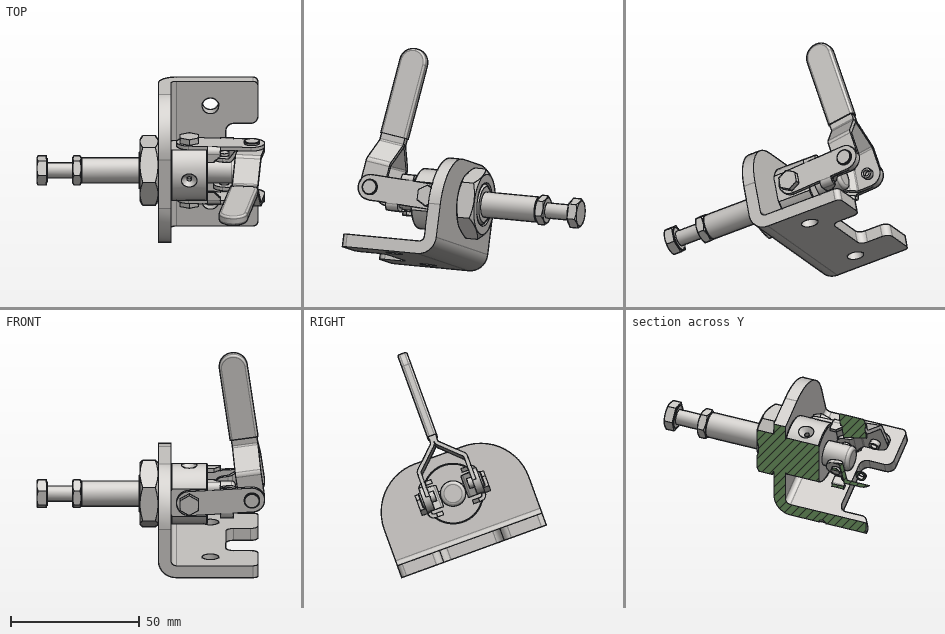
import cadquery as cq
import math

ROLL_ANGLE = 20

HEX_CHAMFER_ANGLE = 30

PLATE_THICKNESS = 5.0
HALF_WIDTH = 30.0
PLATE_TOP = 16
PLATE_CORNER_RADIUS = 20.0
BASE_BOTTOM = -24
BASE_LENGTH = 38.9
BEND_INNER_RADIUS = 2.0
BASE_CORNER_RADIUS = 2.0
NOTCH_WIDTH = 25.05
NOTCH_DEPTH = NOTCH_WIDTH / 2
NOTCH_FILLET = 3.0
BASE_HOLE_DIAMETER = 6.5
BASE_HOLE_X = 20.3
BASE_HOLE_Y = 19.8

THREAD_RADIUS = 8
THREAD_FRONT = -7.5
THREAD_CHAMFER = 1.0
NUT_LENGTH = 7.2
NUT_ACROSS_FLATS = 24
NUT_FACE_RADIUS = 11.8
NUT_BORE_CHAMFER = 0.5
BODY_RADIUS = 11.8
BODY_HALF_WIDTH = 10.4
BODY_END = 19.1
BODY_CHAMFER = 0.35
OILER_CONE_RADIUS = 3.0
OILER_CONE_DEPTH = 2.1
OILER_BORE_RADIUS = 0.9
OILER_DEPTH = 4.4

PLUNGER_RADIUS = 5.0
PLUNGER_FRONT = -30.0
PLUNGER_CHAMFER = 0.35
PLUNGER_END = 30.0
PLUNGER_END_FILLET = 1.4
SPINDLE_RADIUS = 3.0
SPINDLE_FRONT = -47.35
SPINDLE_ACROSS_FLATS = 10.0
SPINDLE_FACE_RADIUS = 4.9
SPINDLE_HEAD_LENGTH = 3.7
SPINDLE_COLLAR_RADIUS = 4.6
SPINDLE_COLLAR_LENGTH = 0.35
LOCK_NUT_LENGTH = 3.4

SHEET = 1.5
LINK_RADIUS = 5.0
FLANGE_LENGTH = 5.1
FLANGE_INNER_Y = 6.2
FLANGE_CHAMFER = 2.5
FLANGE_BEND_INNER_RADIUS = 0.9
UPPER_FLANGE_START = BODY_END
UPPER_FLANGE_Z = 8.1
LOWER_FLANGE_START = 24.25
LOWER_FLANGE_Z = -6.5
BODY_BOLT = (12.1, 0.2)
HANDLE_PIN = (36.5, 1.6)
PLUNGER_PIN = (25.8, 0.7)
BOLT_ACROSS_FLATS = 7.1
BOLT_FACE_RADIUS = 4.0
BOLT_HEAD_LENGTH = 2.3
PIN_HEAD_RADIUS = 3.0
PIN_HEAD_LENGTH = 1.0
PIN_CHAMFER = 0.3
PIN_STUB_RADIUS = 2.0
PIN_STUB_INNER_Y = 6.8
PIN_STUB_BORE_RADIUS = 1.2
PIN_STUB_BORE_DEPTH = 1.8
PLUNGER_PIN_RADIUS = 1.9
PLUNGER_PIN_HALF_LENGTH = 7.8
TAIL_RADIUS = 4.3
TAIL_INNER_Y = 5.15
JOG_START_X = 28.25
JOG_END_X = 30.9
JOG_INNER_RADIUS = 0.5

HANDLE_LEAN = 8.1
HANDLE_WIDTH = 10.0
HANDLE_LOWER_BEND = 10.7
HANDLE_UPPER_BEND = 19.2
HANDLE_BEND_INNER_RADIUS = 1.0
GRIP_BOTTOM = 22.0
GRIP_TOP = 57.0
GRIP_WIDTH = 11.0
GRIP_THICKNESS = 3.8
GRIP_EDGE_RADIUS = 0.9

LINK_INNER_Y = BODY_HALF_WIDTH
LINK_OUTER_Y = LINK_INNER_Y + SHEET


def rod(radius, start, end):
    """Cylinder on the plunger axis between two X positions."""
    return cq.Workplane("YZ", origin=(start, 0, 0)).circle(radius).extrude(end - start)


def cross_rod(center, radius, y_start, y_end):
    """Cylinder along Y at an (x, z) center."""
    plane = cq.Workplane("XZ", origin=(center[0], y_start, center[1]))
    return plane.circle(radius).extrude(y_start - y_end)


def hexagon(across_flats, face_radius, length, chamfer_base=True):
    """Hexagonal prism standing on XY, one corner along +X, chamfered on top and optionally at its base."""
    corner_radius = across_flats / math.sqrt(3)
    drop = (corner_radius - face_radius) * math.tan(math.radians(HEX_CHAMFER_ANGLE))
    if chamfer_base:
        base = [(0, 0), (face_radius, 0), (corner_radius, drop)]
    else:
        base = [(0, 0), (corner_radius, 0)]
    top = [(corner_radius, length - drop), (face_radius, length), (0, length)]
    prism = cq.Workplane("XY").polygon(6, 2 * corner_radius).extrude(length)
    turned = cq.Workplane("XZ").polyline(base + top).close().revolve(360, (0, 0, 0), (0, 1, 0))
    return prism.intersect(turned)


def axial_hexagon(across_flats, face_radius, start, length, chamfer_rear=True):
    """Hexagonal nut or head on the plunger axis, with one corner upwards."""
    prism = hexagon(across_flats, face_radius, length, chamfer_rear)
    return prism.rotate((0, 0, 0), (0, 1, 0), -90).translate((start + length, 0, 0))


def tapered_bar(first, first_radius, second, second_radius):
    """Outline in XZ of two round ends joined by their common tangents, extruded over all Y."""
    dx = second[0] - first[0]
    dz = second[1] - first[1]
    heading = math.atan2(dz, dx)
    spread = math.acos((first_radius - second_radius) / math.hypot(dx, dz))

    def on_circle(center, radius, angle):
        return (center[0] + radius * math.cos(angle), center[1] + radius * math.sin(angle))

    return (
        cq.Workplane("XZ")
        .moveTo(*on_circle(first, first_radius, heading + spread))
        .threePointArc(
            on_circle(first, first_radius, heading + math.pi),
            on_circle(first, first_radius, heading - spread),
        )
        .lineTo(*on_circle(second, second_radius, heading - spread))
        .threePointArc(
            on_circle(second, second_radius, heading),
            on_circle(second, second_radius, heading + spread),
        )
        .close()
        .extrude(HALF_WIDTH, both=True)
    )


def both_sides(shape):
    """A shape together with its mirror image across the XZ plane."""
    return shape.union(shape.mirror("XZ"))


def bracket():
    """Angle bracket: round-shouldered upright plate and notched base."""
    height = PLATE_TOP - BASE_BOTTOM
    base_top = BASE_BOTTOM + PLATE_THICKNESS
    profile = cq.Workplane("XZ").polyline([
        (0, BASE_BOTTOM), (BASE_LENGTH, BASE_BOTTOM), (BASE_LENGTH, base_top),
        (PLATE_THICKNESS, base_top), (PLATE_THICKNESS, PLATE_TOP), (0, PLATE_TOP),
    ]).close().extrude(HALF_WIDTH, both=True)
    profile = profile.edges(cq.NearestToPointSelector((0, 0, BASE_BOTTOM))).fillet(
        BEND_INNER_RADIUS + PLATE_THICKNESS
    )
    profile = profile.edges(cq.NearestToPointSelector((PLATE_THICKNESS, 0, base_top))).fillet(
        BEND_INNER_RADIUS
    )

    front_outline = (
        cq.Workplane("YZ", origin=(0, 0, BASE_BOTTOM + height / 2))
        .rect(2 * HALF_WIDTH, height)
        .extrude(BASE_LENGTH)
        .edges("|X and >Z").fillet(PLATE_CORNER_RADIUS)
    )
    base_outline = (
        cq.Workplane("XY", origin=(0, 0, BASE_BOTTOM))
        .rect(2 * BASE_LENGTH, 2 * HALF_WIDTH)
        .extrude(height)
        .edges("|Z and >X").fillet(BASE_CORNER_RADIUS)
    )
    notch_bottom_x = BASE_LENGTH - NOTCH_DEPTH
    notch = (
        cq.Workplane("XY", origin=(notch_bottom_x + NOTCH_DEPTH / 2, 0, BASE_BOTTOM))
        .rect(NOTCH_DEPTH, NOTCH_WIDTH)
        .extrude(height)
    )
    holes = (
        cq.Workplane("XY", origin=(0, 0, BASE_BOTTOM))
        .pushPoints([(BASE_HOLE_X, BASE_HOLE_Y), (BASE_HOLE_X, -BASE_HOLE_Y)])
        .circle(BASE_HOLE_DIAMETER / 2)
        .extrude(PLATE_THICKNESS)
    )
    shape = profile.intersect(front_outline).intersect(base_outline).cut(notch).cut(holes)
    for x in (notch_bottom_x, BASE_LENGTH):
        for side in (-1, 1):
            corner = (x, side * NOTCH_WIDTH / 2, BASE_BOTTOM + PLATE_THICKNESS / 2)
            shape = shape.edges(cq.NearestToPointSelector(corner)).fillet(NOTCH_FILLET)
    return shape


def body():
    """Threaded neck and flat-sided barrel with an oiling hole."""
    neck = rod(THREAD_RADIUS, THREAD_FRONT, PLATE_THICKNESS).faces("<X").chamfer(THREAD_CHAMFER)
    barrel = rod(BODY_RADIUS, PLATE_THICKNESS, BODY_END).faces("<X or >X").chamfer(BODY_CHAMFER)
    flats = cq.Workplane("XY").box(2 * BODY_END, 2 * BODY_HALF_WIDTH, 2 * BODY_RADIUS)
    flats = flats.translate((BODY_END, 0, 0))
    oiler = (
        cq.Workplane("XZ")
        .polyline([
            (0, BODY_RADIUS), (OILER_CONE_RADIUS, BODY_RADIUS),
            (OILER_BORE_RADIUS, BODY_RADIUS - OILER_CONE_DEPTH),
            (OILER_BORE_RADIUS, BODY_RADIUS - OILER_DEPTH), (0, BODY_RADIUS - OILER_DEPTH),
        ])
        .close()
        .revolve(360, (0, 0, 0), (0, 1, 0))
        .translate((BODY_BOLT[0], 0, 0))
    )
    return barrel.intersect(flats).cut(oiler).union(neck)


def clamping_nut():
    """Large nut on the neck, with a countersunk bore at its front."""
    nut = axial_hexagon(NUT_ACROSS_FLATS, NUT_FACE_RADIUS, -NUT_LENGTH, NUT_LENGTH)
    countersink = cq.Solid.makeCone(
        THREAD_RADIUS + NUT_BORE_CHAMFER, THREAD_RADIUS, NUT_BORE_CHAMFER,
        pnt=cq.Vector(-NUT_LENGTH, 0, 0), dir=cq.Vector(1, 0, 0),
    )
    return nut.cut(rod(THREAD_RADIUS, -NUT_LENGTH, 0)).cut(cq.Workplane(countersink))


def plunger():
    """Plunger rod, lock nut and spindle with a hexagonal head."""
    lock_nut_front = PLUNGER_FRONT - LOCK_NUT_LENGTH
    shaft = rod(PLUNGER_RADIUS, PLUNGER_FRONT, PLUNGER_END)
    shaft = shaft.faces("<X").chamfer(PLUNGER_CHAMFER).faces(">X").edges().fillet(PLUNGER_END_FILLET)
    spindle = rod(SPINDLE_RADIUS, SPINDLE_FRONT, PLUNGER_FRONT)
    head = axial_hexagon(
        SPINDLE_ACROSS_FLATS, SPINDLE_FACE_RADIUS, SPINDLE_FRONT, SPINDLE_HEAD_LENGTH, chamfer_rear=False
    )
    head_rear = SPINDLE_FRONT + SPINDLE_HEAD_LENGTH
    collar = rod(SPINDLE_COLLAR_RADIUS, head_rear, head_rear + SPINDLE_COLLAR_LENGTH)
    lock_nut = axial_hexagon(
        SPINDLE_ACROSS_FLATS, SPINDLE_FACE_RADIUS, lock_nut_front, LOCK_NUT_LENGTH
    )
    return shaft.union(spindle).union(head).union(collar).union(lock_nut)


def link_flange(start, outer_z, step):
    """Stop flange bent inwards from the edge of the +Y link; step goes through the sheet."""
    flange = (
        cq.Workplane("YZ", origin=(start, 0, 0))
        .polyline([
            (FLANGE_INNER_Y, outer_z), (LINK_OUTER_Y, outer_z), (LINK_OUTER_Y, BODY_BOLT[1]),
            (LINK_INNER_Y, BODY_BOLT[1]), (LINK_INNER_Y, outer_z + step),
            (FLANGE_INNER_Y, outer_z + step),
        ])
        .close()
        .extrude(FLANGE_LENGTH)
    )
    middle = start + FLANGE_LENGTH / 2
    for corner, radius in (
        ((middle, LINK_OUTER_Y, outer_z), FLANGE_BEND_INNER_RADIUS + SHEET),
        ((middle, LINK_INNER_Y, outer_z + step), FLANGE_BEND_INNER_RADIUS),
    ):
        flange = flange.edges(cq.NearestToPointSelector(corner)).fillet(radius)
    tip = (start + FLANGE_LENGTH, FLANGE_INNER_Y, outer_z + step / 2)
    return flange.edges(cq.NearestToPointSelector(tip)).chamfer(FLANGE_CHAMFER)


def side_link():
    """Link on the +Y side with its body bolt and handle pin."""
    slab_width = LINK_OUTER_Y - LINK_INNER_Y
    slab = cq.Workplane("XY").box(4 * BASE_LENGTH, slab_width, 2 * HALF_WIDTH)
    slab = slab.translate((0, (LINK_INNER_Y + LINK_OUTER_Y) / 2, 0))
    link = tapered_bar(BODY_BOLT, LINK_RADIUS, HANDLE_PIN, LINK_RADIUS).intersect(slab)

    head = (
        hexagon(BOLT_ACROSS_FLATS, BOLT_FACE_RADIUS, BOLT_HEAD_LENGTH, chamfer_base=False)
        .rotate((0, 0, 0), (0, 0, 1), 90)
        .rotate((0, 0, 0), (1, 0, 0), -90)
        .translate((BODY_BOLT[0], LINK_OUTER_Y, BODY_BOLT[1]))
    )

    pin_head = cross_rod(HANDLE_PIN, PIN_HEAD_RADIUS, LINK_OUTER_Y, LINK_OUTER_Y + PIN_HEAD_LENGTH)
    pin_head = pin_head.faces(">Y").chamfer(PIN_CHAMFER)
    stub = cross_rod(HANDLE_PIN, PIN_STUB_RADIUS, PIN_STUB_INNER_Y, LINK_OUTER_Y)
    bore = cross_rod(
        HANDLE_PIN, PIN_STUB_BORE_RADIUS, PIN_STUB_INNER_Y, PIN_STUB_INNER_Y + PIN_STUB_BORE_DEPTH
    )
    link = link.union(link_flange(UPPER_FLANGE_START, UPPER_FLANGE_Z, -SHEET))
    link = link.union(link_flange(LOWER_FLANGE_START, LOWER_FLANGE_Z, SHEET))
    return link.union(head).union(pin_head).union(stub.cut(bore))


def handle_tail():
    """Sheet tail on the +Y side, jogging inwards from the handle pin to the plunger pin."""
    outer = LINK_INNER_Y
    tail_outer = TAIL_INNER_Y + SHEET
    ribbon = (
        cq.Workplane("XY", origin=(0, 0, -HALF_WIDTH))
        .polyline([
            (0, TAIL_INNER_Y), (JOG_START_X, TAIL_INNER_Y), (JOG_END_X, outer - SHEET),
            (2 * BASE_LENGTH, outer - SHEET), (2 * BASE_LENGTH, outer),
            (JOG_END_X - SHEET / 2, outer), (JOG_START_X - SHEET / 2, tail_outer), (0, tail_outer),
        ])
        .close()
        .extrude(2 * HALF_WIDTH)
    )
    for corner in ((JOG_START_X, TAIL_INNER_Y, 0), (JOG_END_X - SHEET / 2, outer, 0)):
        ribbon = ribbon.edges(cq.NearestToPointSelector(corner)).fillet(JOG_INNER_RADIUS + SHEET)
    for corner in ((JOG_END_X, outer - SHEET, 0), (JOG_START_X - SHEET / 2, tail_outer, 0)):
        ribbon = ribbon.edges(cq.NearestToPointSelector(corner)).fillet(JOG_INNER_RADIUS)
    return tapered_bar(HANDLE_PIN, LINK_RADIUS, PLUNGER_PIN, TAIL_RADIUS).intersect(ribbon)


def handle():
    """Forked sheet handle with its grip, leaning over the linkage."""
    outer = LINK_INNER_Y
    inner = outer - SHEET
    grip_middle = (GRIP_BOTTOM + GRIP_TOP) / 2
    splay = math.atan2(outer - SHEET, HANDLE_UPPER_BEND - HANDLE_LOWER_BEND)
    bend_shift = SHEET * math.tan(splay / 2)
    lower_outer = (outer, HANDLE_LOWER_BEND)
    upper_outer = (SHEET, HANDLE_UPPER_BEND)
    upper_inner = (0, HANDLE_UPPER_BEND - bend_shift)
    lower_inner = (inner, HANDLE_LOWER_BEND - bend_shift)
    leg = (
        cq.Workplane("YZ")
        .polyline([
            (inner, 0), (outer, 0), lower_outer, upper_outer,
            (SHEET, grip_middle), (0, grip_middle), upper_inner, lower_inner,
        ])
        .close()
        .extrude(HANDLE_WIDTH / 2, both=True)
    )
    for corner in (lower_inner, upper_outer):
        leg = leg.edges(cq.NearestToPointSelector((0, *corner))).fillet(HANDLE_BEND_INNER_RADIUS)
    for corner in (lower_outer, upper_inner):
        leg = leg.edges(cq.NearestToPointSelector((0, *corner))).fillet(
            HANDLE_BEND_INNER_RADIUS + SHEET
        )

    grip_radius = GRIP_WIDTH / 2
    grip = (
        cq.Workplane("XZ")
        .moveTo(-grip_radius, GRIP_BOTTOM)
        .lineTo(-grip_radius, GRIP_TOP - grip_radius)
        .threePointArc((0, GRIP_TOP), (grip_radius, GRIP_TOP - grip_radius))
        .lineTo(grip_radius, GRIP_BOTTOM)
        .close()
        .extrude(GRIP_THICKNESS / 2, both=True)
        .faces("<Y or >Y").edges("not <Z").fillet(GRIP_EDGE_RADIUS)
    )
    upright = both_sides(leg).union(grip).rotate((0, 0, 0), (0, 1, 0), -HANDLE_LEAN)
    return upright.translate((HANDLE_PIN[0], 0, HANDLE_PIN[1])).union(both_sides(handle_tail()))


plunger_pin = cross_rod(
    PLUNGER_PIN, PLUNGER_PIN_RADIUS, -PLUNGER_PIN_HALF_LENGTH, PLUNGER_PIN_HALF_LENGTH
)

clamp = bracket()
for piece in (body(), clamping_nut(), plunger(), both_sides(side_link()), handle(), plunger_pin):
    clamp = clamp.union(piece)

result = clamp.rotate((0, 0, 0), (1, 0, 0), ROLL_ANGLE)